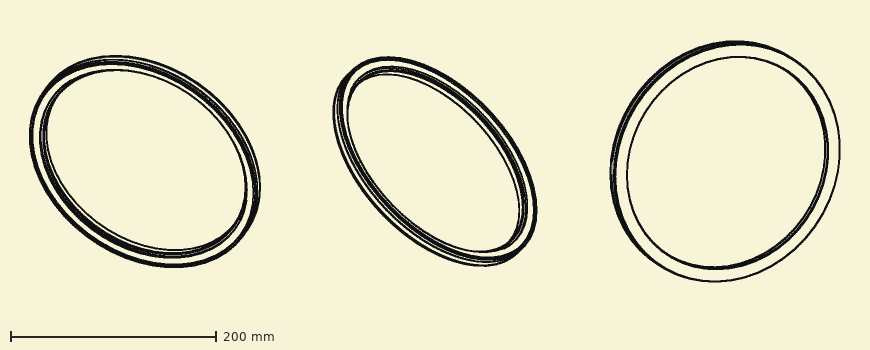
import cadquery as cq

outer_diameter = 240.0
bore_diameter = 213.0
width = 12.0
corner_chamfer = 0.7

lip_inner_diameter = 235.0
main_face_depth = 2.2
ledge_outer_diameter = 219.5
ledge_depth = 4.8
ledge_chamfer = 1.0
back_bore_chamfer = 0.7

groove_radius = 2.5
groove_center_y = 1.0
groove_edge_fillet = 0.5

outer_radius = outer_diameter / 2
bore_radius = bore_diameter / 2
lip_inner_radius = lip_inner_diameter / 2
ledge_outer_radius = ledge_outer_diameter / 2
front_y = -width / 2
back_y = width / 2
main_face_y = front_y + main_face_depth
ledge_y = front_y + ledge_depth

section = (
    cq.Workplane("XY")
    .moveTo(outer_radius - corner_chamfer, front_y)
    .lineTo(outer_radius, front_y + corner_chamfer)
    .lineTo(outer_radius, groove_center_y - groove_radius)
    .threePointArc(
        (outer_radius - groove_radius, groove_center_y),
        (outer_radius, groove_center_y + groove_radius),
    )
    .lineTo(outer_radius, back_y - corner_chamfer)
    .lineTo(outer_radius - corner_chamfer, back_y)
    .lineTo(bore_radius + back_bore_chamfer, back_y)
    .lineTo(bore_radius, back_y - back_bore_chamfer)
    .lineTo(bore_radius, ledge_y + ledge_chamfer)
    .lineTo(bore_radius + ledge_chamfer, ledge_y)
    .lineTo(ledge_outer_radius, ledge_y)
    .lineTo(ledge_outer_radius, main_face_y)
    .lineTo(lip_inner_radius, main_face_y)
    .lineTo(lip_inner_radius, front_y)
    .close()
)
ring = section.revolve(360, (0, 0), (0, 1))


def round_groove_edge(body, edge_y):
    """Fillet the circular edge where the groove meets the rim at edge_y."""
    tolerance = 0.12
    reach = outer_radius + tolerance
    edge_box = cq.selectors.BoxSelector(
        (-reach, edge_y - tolerance, -reach),
        (reach, edge_y + tolerance, reach),
        boundingbox=True,
    )
    return body.edges(edge_box).fillet(groove_edge_fillet)


for side in (-1, 1):
    ring = round_groove_edge(ring, groove_center_y + side * groove_radius)

result = ring